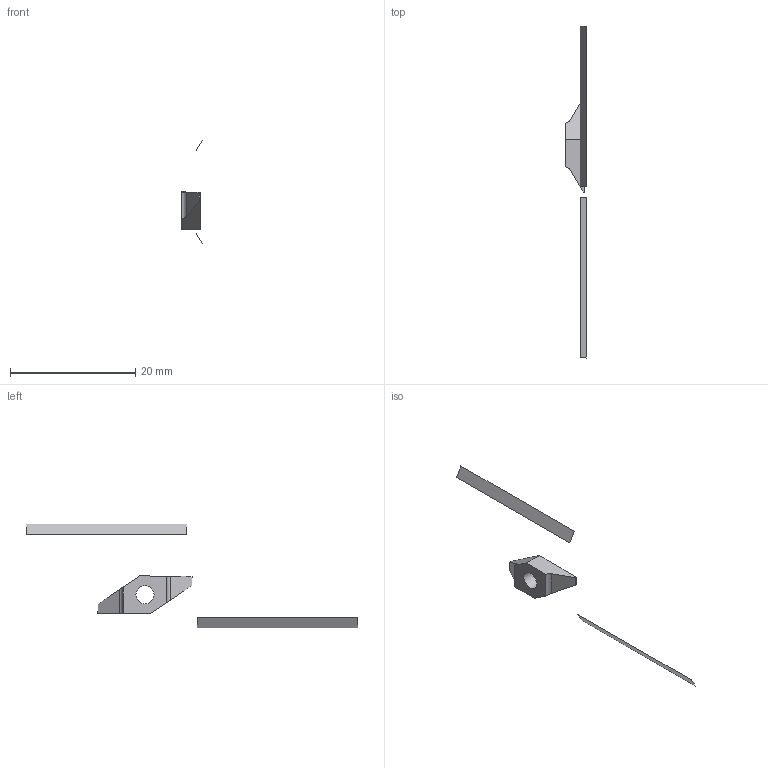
import cadquery as cq
import math


hole_diameter = 2.9
hole_y = 7.5
hole_z = -3.0
tip_bottom_z = -1.5
shoulder_y = 8.4
shoulder_z = -0.04
long_edge_angle = 0.4
end_relief = 1.0
side_clearance = 1.0

tip_top_z = shoulder_z - shoulder_y * math.tan(math.radians(long_edge_angle))
tip_bottom_y = (tip_top_z - tip_bottom_z) * math.tan(math.radians(end_relief))

thickness = 3.0
back_land = 0.215
back_x = back_land
front_x = back_x - thickness

rake_angle = 60.0
rake_end_y = 3.46
runout_angle = 10.0
cut_margin = 1.0
cut_half_height = 10.0

plane_length = 25.6
plane_width = 2.0
plane_angle = 60.0
plane_gap = 1.75
plane_outer_z = 8.28
plane_outer_x = 0.525


def half_turn(y, z):
    """The point opposite (y, z) across the hole axis."""
    return (2 * hole_y - y, 2 * hole_z - z)


def insert_blank():
    """Six-sided plate, widest at the front face."""
    half_outline = [(tip_bottom_y, tip_bottom_z), (0, tip_top_z), (shoulder_y, shoulder_z)]
    outline = half_outline + [half_turn(y, z) for y, z in half_outline]
    return (
        cq.Workplane("YZ", origin=(back_x, 0, 0))
        .polyline(outline)
        .close()
        .extrude(-thickness, taper=-side_clearance)
    )


def rake_cut():
    """Material in front of the rake face at the origin end."""
    angle = math.radians(rake_angle)
    runout = math.radians(runout_angle)
    rake_end_x = -rake_end_y / math.tan(angle)
    radius = (rake_end_x - front_x) / (math.sin(angle) - math.sin(runout))
    center_x = rake_end_x - radius * math.sin(angle)
    center_y = rake_end_y - radius * math.cos(angle)

    def rounding_point(tangent_angle):
        """Point of the rounding where its tangent has this angle to the X axis."""
        x = center_x + radius * math.sin(tangent_angle)
        y = center_y + radius * math.cos(tangent_angle)
        return (x, y)

    runout_point = rounding_point(runout)
    middle_point = rounding_point((angle + runout) / 2)
    return (
        cq.Workplane("XY")
        .moveTo(front_x - cut_margin, runout_point[1])
        .lineTo(*runout_point)
        .threePointArc(middle_point, (rake_end_x, rake_end_y))
        .lineTo(cut_margin / math.tan(angle), -cut_margin)
        .lineTo(front_x - cut_margin, -cut_margin)
        .close()
        .extrude(cut_half_height, both=True)
    )


def insert():
    """Blank with a rake cut at each end and the clamping hole through its middle."""
    axis_start = (0, hole_y, hole_z)
    axis_end = (1, hole_y, hole_z)
    first_cut = rake_cut()
    second_cut = first_cut.rotate(axis_start, axis_end, 180)
    hole = (
        cq.Workplane("YZ", origin=(front_x, hole_y, hole_z))
        .circle(hole_diameter / 2)
        .extrude(thickness)
    )
    return insert_blank().cut(first_cut).cut(second_cut).cut(hole)


def guide_plane(side):
    """Zero-thickness rectangle: side +1 lies above at +Y, side -1 below at -Y."""
    angle = math.radians(plane_angle)
    outer_z = side * plane_outer_z
    inner_z = side * (plane_outer_z - plane_width * math.sin(angle))
    inner_x = plane_outer_x - plane_width * math.cos(angle)
    near_y = side * plane_gap / 2
    far_y = near_y + side * plane_length
    corners = [
        (inner_x, near_y, inner_z),
        (plane_outer_x, near_y, outer_z),
        (plane_outer_x, far_y, outer_z),
        (inner_x, far_y, inner_z),
    ]
    outline = cq.Wire.makePolygon([cq.Vector(*corner) for corner in corners], close=True)
    return cq.Face.makeFromWires(outline)


result = cq.Workplane(
    cq.Compound.makeCompound([insert().val(), guide_plane(1), guide_plane(-1)])
)